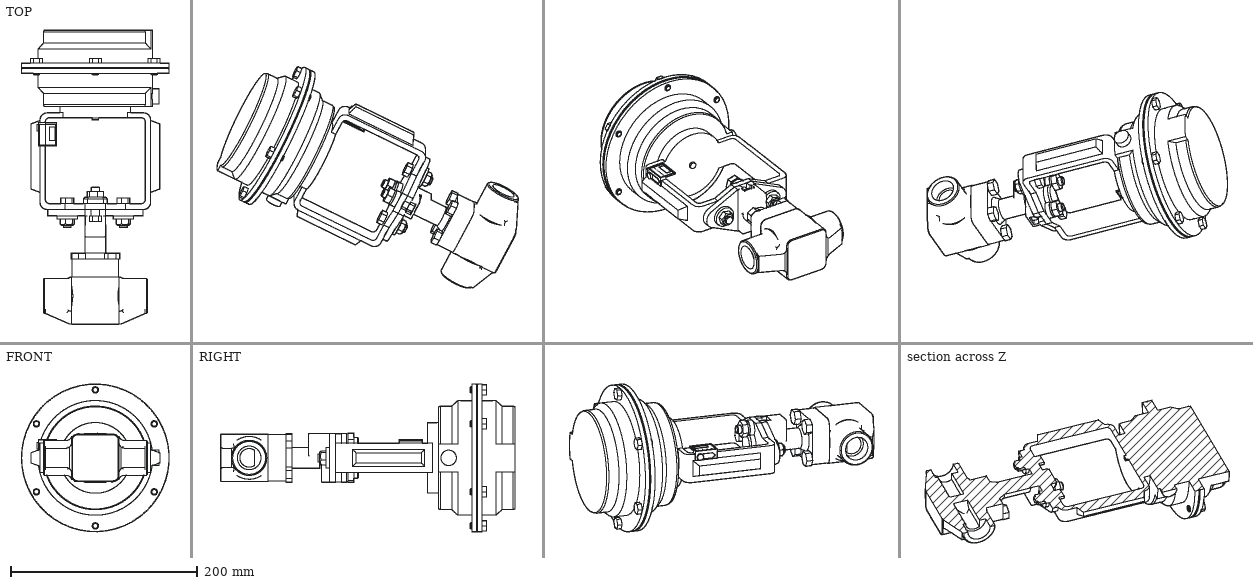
import cadquery as cq
import math


overall_length = 316.42
flange_diameter = 158.75

housing_back = 285.52
housing_front = 203.2
cap_radius = 55.7
shell_radius = 61.6
cap_edge_length = 2.3
cap_edge_drop = 0.8
back_cone_start = 271.6
back_cone_end = 264.9
front_cone_start = 224.0
front_cone_end = 217.5
pad_half_width = 15.0

flange_radius = flange_diameter / 2
flange_back = 250.1
flange_front = 239.0
flange_middle = (flange_back + flange_front) / 2
diaphragm_thickness = 1.2
diaphragm_recess = 0.8

flange_bolt_count = 6
first_bolt_angle = 90
flange_bolt_circle = 73.0
flange_head_height = 4.9
flange_head_corners = 12.9
flange_stud_radius = 3.4
flange_stud_length = 1.9
flange_stud_chamfer = 0.8

hub_radius = 38.0
hub_front = 191.3
spindle_radius = 3.5
spindle_length = 2.3

fitting_y = 214.2
fitting_radius = 8.3
fitting_end_x = 68.4

yoke_outer_half = 59.5
yoke_thickness = 5.9
yoke_inner_half = yoke_outer_half - yoke_thickness
yoke_half_height = 15.9
yoke_back = 196.7
yoke_leg_back = 99.2
yoke_front = 92.7
yoke_outer_bend = 7.9
yoke_inner_bend = 4.5

rail_back = 188.4
rail_front = 111.1
rail_half_height = 9.0
rail_depth = 9.7
rail_inset = 3.6

indicator_back = 186.0
indicator_length = 24.9
indicator_left = -60.8
indicator_width = 19.3
indicator_bottom = 9.0
indicator_top = 19.6
indicator_plate = 1.6
indicator_rim = 1.0
indicator_recess = 0.6
indicator_end_lip = 1.8
window_right_margin = 1.6
window_width = 6.0
window_length = 14.5
window_offset_y = 4.5
window_depth = 0.4
screw_radius = 3.5
screw_length = 1.9
screw_y = 180.8
screw_z = 12.8
guide_tip_y = 163.2
guide_point_length = 3.4
guide_half_width = 2.9
guide_depth = 0.6

mount_front = 86.1
mount_lobe_x = 40.1
mount_lobe_radius = 11.1
leg_step = 0.2
block_half_width = 11.05
block_half_height = 26.2
block_upper_front = 63.5
block_lower_front = 77.4
block_edge_radius = 2.2
block_front_radius = 1.0

yoke_bolt_x = 30.1
yoke_bolt_corners = 14.6
yoke_bolt_turn = 15
yoke_head_height = 6.2
yoke_washer_radius = 11.1
yoke_washer_thickness = 3.6
yoke_nut_height = 6.8
yoke_nut_corners = 15.8
yoke_nut_chamfer = 1.8
yoke_stud_radius = 4.2
yoke_stud_projection = 2.0

clamp_bolt_z = 17.6
clamp_washer_radius = 8.6
clamp_washer_thickness = 5.1
clamp_lock_washer_radius = 8.1
clamp_lock_washer_thickness = 1.9
clamp_nut_corners = 18.3
clamp_nut_turn = -15
clamp_nut_height = 6.2
clamp_stud_radius = 4.5
clamp_stud_projection = 4.8
clamp_head_corners = 13.0
clamp_head_height = 6.0
clamp_stud_chamfer = 1.0

gland_radius = 12.95
gland_height = 7.0
gland_chamfer = 1.9

stem_radius = 11.2
stem_foot_back = 46.1
stem_foot_radius = 15.0
stem_back = 76.0
bonnet_back = 39.4
bonnet_front = 20.1
bonnet_half = 25.1
body_half = 25.5
body_corner_radius = 6.4
body_front = housing_back - overall_length
body_edge_chamfer = 0.9

bonnet_bolt_offset = 18.0
bonnet_bolt_corners = 16.7
bonnet_bolt_turn = 30
bonnet_head_height = 6.7

port_half_length = 55.9
port_radius = 18.9
port_chamfer = 1.2
port_flare_radius = 23.0
port_flare_length = 6.2
socket_radius = 12.7
socket_depth = 14.0
passage_radius = 10.0
passage_flat_y = 5.7
passage_end_x = 16.0

web_half_width = 10.3
web_end_x = 53.6
web_foot_x = 27.8
web_front = -30.2
web_blend_radius = 6.0


def rod(x, z, back, length, radius):
    """Cylinder along Y, reaching from back towards -Y."""
    return cq.Workplane("XZ", origin=(x, back, z)).circle(radius).extrude(length)


def hex_prism(x, z, back, length, corners, turn=0):
    """Hexagonal prism along Y; with no turn, two of its corners lie along X."""
    prism = cq.Workplane("XZ").polygon(6, corners).extrude(length)
    return prism.rotate((0, 0, 0), (0, 1, 0), turn).translate((x, back, z))


def block(x_range, y_range, z_range):
    """Axis-aligned box between pairs of limits."""
    lows, highs = zip(x_range, y_range, z_range)
    size = [high - low for low, high in zip(lows, highs)]
    return cq.Workplane("XY").box(*size, centered=False).translate(lows)


def both_sides(solid):
    """A solid together with its mirror image across X = 0."""
    return solid.union(solid.mirror("YZ"))


def housing():
    lip_radius = cap_radius - cap_edge_drop
    gap_back = flange_middle + diaphragm_thickness / 2
    gap_front = flange_middle - diaphragm_thickness / 2
    diaphragm_radius = flange_radius - diaphragm_recess
    profile = [
        (0, housing_back),
        (lip_radius, housing_back),
        (cap_radius, housing_back - cap_edge_length),
        (cap_radius, back_cone_start),
        (shell_radius, back_cone_end),
        (shell_radius, flange_back),
        (flange_radius, flange_back),
        (flange_radius, gap_back),
        (diaphragm_radius, gap_back),
        (diaphragm_radius, gap_front),
        (flange_radius, gap_front),
        (flange_radius, flange_front),
        (shell_radius, flange_front),
        (shell_radius, front_cone_start),
        (cap_radius, front_cone_end),
        (cap_radius, housing_front + cap_edge_length),
        (lip_radius, housing_front),
        (hub_radius, housing_front),
        (hub_radius, hub_front),
        (spindle_radius, hub_front),
        (spindle_radius, hub_front - spindle_length),
        (0, hub_front - spindle_length),
    ]
    shell = cq.Workplane("XY").polyline(profile).close().revolve(360, (0, 0), (0, 1))
    return shell.rotate((0, 0, 0), (0, 1, 0), 180)


def connection_pad():
    """Full-radius strip on the +X side that carries the air connection."""
    strip = rod(0, 0, housing_back, housing_back - housing_front, shell_radius)
    return strip.intersect(block(
        (0, shell_radius), (housing_front, housing_back), (-pad_half_width, pad_half_width)))


def air_fitting():
    start_x = cap_radius - fitting_radius
    body = cq.Workplane("YZ", origin=(start_x, fitting_y, 0)).circle(fitting_radius)
    return body.extrude(fitting_end_x - start_x)


def flange_bolts():
    bolts = cq.Workplane("XY")
    for index in range(flange_bolt_count):
        angle = math.radians(first_bolt_angle + 360 / flange_bolt_count * index)
        x = flange_bolt_circle * math.cos(angle)
        z = flange_bolt_circle * math.sin(angle)
        head = hex_prism(x, z, flange_back + flange_head_height, flange_head_height, flange_head_corners)
        stud = rod(x, z, flange_front, flange_stud_length, flange_stud_radius)
        stud = stud.faces("<Y").chamfer(flange_stud_chamfer)
        bolts = bolts.union(head).union(stud)
    return bolts


def yoke():
    heights = (-yoke_half_height, yoke_half_height)
    outer_range = (-yoke_outer_half, yoke_outer_half)
    inner_range = (-yoke_inner_half, yoke_inner_half)
    outer = block(outer_range, (yoke_front, yoke_back), heights).edges("|Z").fillet(yoke_outer_bend)
    inner = block(inner_range, (yoke_leg_back, hub_front), heights).edges("|Z").fillet(yoke_inner_bend)
    return outer.cut(inner)


def rail():
    taper = math.degrees(math.atan(rail_inset / rail_depth))
    profile = cq.Workplane("YZ", origin=(yoke_outer_half, (rail_back + rail_front) / 2, 0))
    return profile.rect(rail_back - rail_front, 2 * rail_half_height).extrude(rail_depth, taper=taper)


def indicator_guide():
    """Shallow pocket in the outer side of the indicator, running from the screw to a point."""
    shoulder_y = guide_tip_y + guide_point_length
    top = screw_z + guide_half_width
    bottom = screw_z - guide_half_width
    outline = [
        (screw_y, bottom),
        (screw_y, top),
        (shoulder_y, top),
        (guide_tip_y, screw_z),
        (shoulder_y, bottom),
    ]
    pocket = cq.Workplane("YZ", origin=(indicator_left, 0, 0)).polyline(outline).close()
    return pocket.extrude(guide_depth)


def indicator():
    front = indicator_back - indicator_length
    right = indicator_left + indicator_width
    y_range = (front, indicator_back)
    saddle = block((indicator_left, -yoke_inner_half), y_range, (indicator_bottom, indicator_top))
    plate = block((indicator_left, right), y_range, (indicator_top - indicator_plate, indicator_top))
    floor = indicator_top - indicator_recess
    recess = block(
        (indicator_left + indicator_rim, right - indicator_rim),
        (front + indicator_rim, indicator_back - indicator_end_lip),
        (floor, indicator_top))
    window_right = right - window_right_margin
    window_back = indicator_back - window_offset_y
    window = block(
        (window_right - window_width, window_right),
        (window_back - window_length, window_back),
        (floor - window_depth, floor))
    screw = cq.Workplane("YZ", origin=(indicator_left, screw_y, screw_z)).circle(screw_radius)
    screw = screw.extrude(screw_length, both=True)
    return saddle.union(plate).cut(recess).cut(window).cut(indicator_guide()).union(screw)


def diamond(back, front, half_height):
    """Plate with rounded ends whose straight flanks run up to the clamp block corners."""
    corner_x = block_half_width - mount_lobe_x
    distance = math.hypot(corner_x, half_height)
    corner_angle = math.atan2(half_height, corner_x)
    tangent_angle = corner_angle - math.acos(mount_lobe_radius / distance)
    tangent_x = mount_lobe_x + mount_lobe_radius * math.cos(tangent_angle)
    tangent_z = mount_lobe_radius * math.sin(tangent_angle)
    tip_x = mount_lobe_x + mount_lobe_radius
    outline = (
        cq.Workplane("XZ", origin=(0, back, 0))
        .moveTo(-block_half_width, half_height)
        .lineTo(block_half_width, half_height)
        .lineTo(tangent_x, tangent_z)
        .threePointArc((tip_x, 0), (tangent_x, -tangent_z))
        .lineTo(block_half_width, -half_height)
        .lineTo(-block_half_width, -half_height)
        .lineTo(-tangent_x, -tangent_z)
        .threePointArc((-tip_x, 0), (-tangent_x, tangent_z))
        .close()
    )
    return outline.extrude(back - front)


def widened_yoke_leg():
    """Middle of the yoke leg between the bends, widened to just inside the flange outline."""
    reach = yoke_inner_half - yoke_inner_bend
    half_height = block_half_height - leg_step
    limits = block((-reach, reach), (yoke_front, yoke_leg_back), (-half_height, half_height))
    return diamond(yoke_leg_back, yoke_front, half_height).intersect(limits)


def half_clamp_block(front):
    """Half of the clamp block above Z = 0, with its top and front edges rounded."""
    widths = (-block_half_width, block_half_width)
    half = block(widths, (front, mount_front), (0, block_half_height))
    half = half.edges(">Z and |Y").fillet(block_edge_radius)
    return half.edges("<Y and (not <Z)").fillet(block_front_radius)


def clamp_block():
    return half_clamp_block(block_upper_front).union(half_clamp_block(block_lower_front).mirror("XY"))


def stem_gland():
    gland = rod(0, 0, yoke_leg_back + gland_height, gland_height, gland_radius)
    return gland.faces(">Y").chamfer(gland_chamfer)


def clamp_bolt_slot():
    """T-shaped slot, open at the top of the flange and block, that receives a clamp bolt."""
    z_range = (clamp_bolt_z, block_half_height)
    shank = block(
        (-clamp_stud_radius, clamp_stud_radius), (mount_front, yoke_front), z_range)
    half_head = clamp_head_corners / 2
    head = block((-half_head, half_head), (mount_front - clamp_head_height, mount_front), z_range)
    return shank.union(head)


def clamp_bolt():
    shank = rod(0, clamp_bolt_z, yoke_front, yoke_front - mount_front, clamp_stud_radius)
    head = hex_prism(0, clamp_bolt_z, mount_front, clamp_head_height, clamp_head_corners)
    washer_back = yoke_leg_back + clamp_washer_thickness
    washer = rod(0, clamp_bolt_z, washer_back, clamp_washer_thickness, clamp_washer_radius)
    lock_back = washer_back + clamp_lock_washer_thickness
    lock_washer = rod(0, clamp_bolt_z, lock_back, clamp_lock_washer_thickness, clamp_lock_washer_radius)
    nut_back = lock_back + clamp_nut_height
    nut = hex_prism(0, clamp_bolt_z, nut_back, clamp_nut_height, clamp_nut_corners, clamp_nut_turn)
    stud = rod(0, clamp_bolt_z, nut_back + clamp_stud_projection, clamp_stud_projection, clamp_stud_radius)
    stud = stud.faces(">Y").chamfer(clamp_stud_chamfer)
    return shank.union(head).union(washer).union(lock_washer).union(nut).union(stud)


def yoke_bolt(x):
    """Bolt with its head inside the yoke and its washer and nut in front of the flange."""
    head_back = yoke_leg_back + yoke_head_height
    head = hex_prism(x, 0, head_back, yoke_head_height, yoke_bolt_corners, yoke_bolt_turn)
    washer = rod(x, 0, mount_front, yoke_washer_thickness, yoke_washer_radius)
    nut_back = mount_front - yoke_washer_thickness
    nut = hex_prism(x, 0, nut_back, yoke_nut_height, yoke_nut_corners, yoke_bolt_turn)
    envelope = rod(x, 0, nut_back, yoke_nut_height, yoke_nut_corners / 2)
    nut = nut.intersect(envelope.faces("<Y").chamfer(yoke_nut_chamfer))
    stud = rod(x, 0, nut_back - yoke_nut_height, yoke_stud_projection, yoke_stud_radius)
    return head.union(washer).union(nut).union(stud)


def valve_square(back, front, half_size):
    """Square prism along Y with rounded corners."""
    square = cq.Workplane("XZ", origin=(0, back, 0)).rect(2 * half_size, 2 * half_size)
    return square.extrude(back - front).edges("|Y").fillet(body_corner_radius)


def stem():
    """Plain stem that widens into a conical foot on the bonnet."""
    profile = [
        (0, stem_back),
        (stem_radius, stem_back),
        (stem_radius, stem_foot_back),
        (stem_foot_radius, bonnet_back),
        (0, bonnet_back),
    ]
    return cq.Workplane("XY").polyline(profile).close().revolve(360, (0, 0), (0, 1))


def bonnet_bolts():
    bolts = cq.Workplane("XY")
    for side in (-1, 1):
        for level in (-1, 1):
            turn = bonnet_bolt_turn if side != level else 0
            bolts = bolts.union(hex_prism(
                side * bonnet_bolt_offset, level * bonnet_bolt_offset,
                bonnet_back + bonnet_head_height, bonnet_head_height, bonnet_bolt_corners, turn))
    return bolts


def port():
    """Pipe port on the +X side with its flared root in the body wall."""
    tube = cq.Workplane("YZ").circle(port_radius).extrude(port_half_length)
    tube = tube.faces(">X").chamfer(port_chamfer)
    flare_end = body_half + port_flare_length
    flare_rise = port_flare_radius - port_radius
    arc_factor = 1 - math.sqrt(0.5)
    flare_middle = (body_half + port_flare_length * arc_factor, port_radius + flare_rise * arc_factor)
    flare = (
        cq.Workplane("XY")
        .moveTo(0, 0)
        .lineTo(flare_end, 0)
        .lineTo(flare_end, port_radius)
        .threePointArc(flare_middle, (body_half, port_flare_radius))
        .lineTo(0, port_flare_radius)
        .close()
        .revolve(360, (0, 0), (1, 0))
    )
    flare = flare.intersect(block(
        (0, flare_end), (-bonnet_front, bonnet_front), (-port_flare_radius, port_flare_radius)))
    return tube.union(flare)


def port_bore():
    """Pipe socket on the +X side and the flow passage behind it, flat on its +Y side."""
    socket = cq.Workplane("YZ", origin=(port_half_length, 0, 0)).circle(socket_radius)
    passage = cq.Workplane("YZ").circle(passage_radius).extrude(port_half_length)
    heights = (-passage_radius, passage_radius)
    y_range = (-passage_radius, passage_flat_y)
    round_end = cq.Workplane("XZ", origin=(passage_end_x, passage_flat_y, 0)).circle(passage_radius)
    round_end = round_end.extrude(passage_flat_y + passage_radius)
    limits = block((passage_end_x, port_half_length), y_range, heights).union(round_end)
    return socket.extrude(-socket_depth).union(passage.intersect(limits))


def web_section():
    """Prism along X: the web with concave blends from its sides up to the ports."""
    reach = port_radius + web_blend_radius
    centre_z = web_half_width + web_blend_radius
    centre_y = -math.sqrt(reach ** 2 - centre_z ** 2)
    tangent_y = centre_y * port_radius / reach
    tangent_z = centre_z * port_radius / reach
    middle_angle = (math.atan2(tangent_z - centre_z, tangent_y - centre_y) - math.pi / 2) / 2
    middle_y = centre_y + web_blend_radius * math.cos(middle_angle)
    middle_z = centre_z + web_blend_radius * math.sin(middle_angle)
    section = (
        cq.Workplane("YZ", origin=(-web_end_x, 0, 0))
        .moveTo(0, -tangent_z)
        .lineTo(0, tangent_z)
        .lineTo(tangent_y, tangent_z)
        .threePointArc((middle_y, middle_z), (centre_y, web_half_width))
        .lineTo(web_front, web_half_width)
        .lineTo(web_front, -web_half_width)
        .lineTo(centre_y, -web_half_width)
        .threePointArc((middle_y, -middle_z), (tangent_y, -tangent_z))
        .close()
    )
    return section.extrude(2 * web_end_x)


def web_root():
    """Prism along Y that blends the upper +X side of the web into the body wall."""
    start_x = body_half - web_blend_radius
    end_x = body_half + web_blend_radius
    top_z = web_half_width + web_blend_radius
    to_middle = web_blend_radius * math.sqrt(0.5)
    return (
        cq.Workplane("XZ")
        .moveTo(start_x, 0)
        .lineTo(end_x, 0)
        .lineTo(end_x, web_half_width)
        .threePointArc((end_x - to_middle, top_z - to_middle), (body_half, top_z))
        .lineTo(start_x, top_z)
        .close()
        .extrude(-web_front)
    )


def port_web():
    """Tapered web that runs under both ports and across the body."""
    outline = [
        (-web_end_x, 0),
        (-web_end_x, -port_radius),
        (-web_foot_x, web_front),
        (web_foot_x, web_front),
        (web_end_x, -port_radius),
        (web_end_x, 0),
    ]
    side_view = cq.Workplane("XY").polyline(outline).close().extrude(port_radius, both=True)
    upper_roots = both_sides(web_root())
    section = web_section().union(upper_roots).union(upper_roots.mirror("XY"))
    return section.intersect(side_view)


def actuator():
    solid = housing().union(connection_pad()).union(air_fitting()).union(flange_bolts())
    return solid.union(yoke()).union(both_sides(rail())).union(indicator())


def mount():
    flange = diamond(yoke_front, mount_front, block_half_height)
    solid = widened_yoke_leg().union(flange).union(clamp_block())
    slot = clamp_bolt_slot()
    solid = solid.cut(slot).cut(slot.mirror("XY"))
    bolt = clamp_bolt()
    solid = solid.union(bolt).union(bolt.rotate((0, 0, 0), (0, 1, 0), 180))
    solid = solid.union(stem_gland())
    return solid.union(yoke_bolt(-yoke_bolt_x)).union(yoke_bolt(yoke_bolt_x))


def valve():
    bonnet = valve_square(bonnet_back, bonnet_front, bonnet_half)
    body = valve_square(bonnet_front, body_front, body_half).faces("<Y").chamfer(body_edge_chamfer)
    solid = body.union(both_sides(port())).union(port_web()).cut(both_sides(port_bore()))
    return solid.union(bonnet).union(bonnet_bolts()).union(stem())


result = actuator().union(mount()).union(valve())